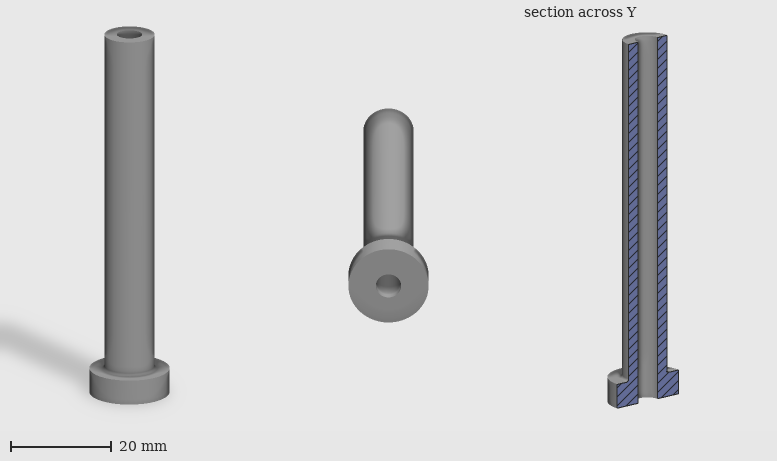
import cadquery as cq

total_length = 75.0
head_diameter = 16.0
head_height = 5.0
shaft_diameter = 10.05
bore_diameter = 5.0
neck_fillet = 0.5

head_radius = head_diameter / 2
shaft_radius = shaft_diameter / 2
bore_radius = bore_diameter / 2

profile = (
    cq.Workplane("XZ")
    .moveTo(bore_radius, 0)
    .lineTo(head_radius, 0)
    .lineTo(head_radius, head_height)
    .lineTo(shaft_radius + neck_fillet, head_height)
    .radiusArc((shaft_radius, head_height + neck_fillet), neck_fillet)
    .lineTo(shaft_radius, total_length)
    .lineTo(bore_radius, total_length)
    .close()
)

result = profile.revolve(360, (0, 0, 0), (0, 1, 0))